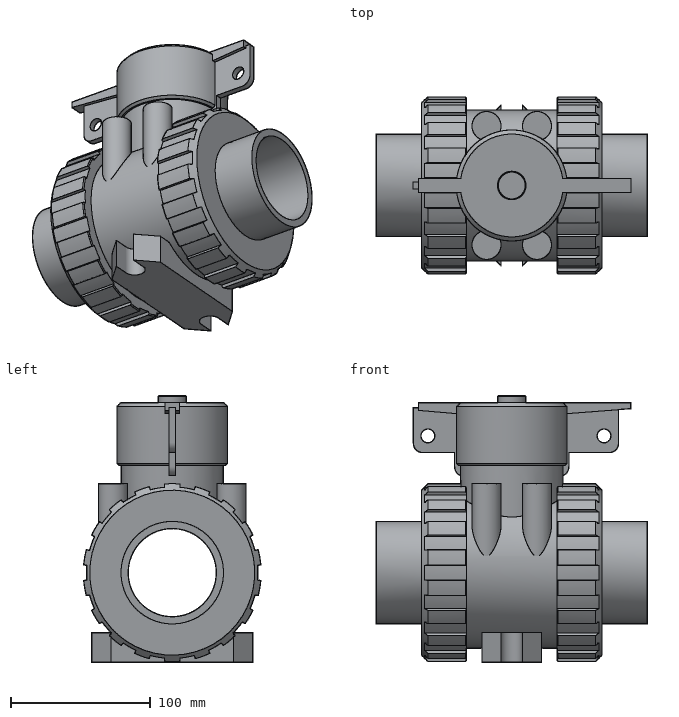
import cadquery as cq

pipe_length = 194.5
pipe_diameter = 73.5
bore_diameter = 63.0
body_diameter = 108.5

nut_outer_x = 64.8
nut_inner_x = 32.5
nut_length = nut_outer_x - nut_inner_x
nut_radius = 63.8
nut_groove_radius = 61.5
nut_chamfer = 4.7
tooth_end_chamfer = 0.8
tooth_count = 18
tooth_width = 11.0

neck_diameter = 73.5
cap_diameter = 79.5
cap_bottom_z = 76.6
cap_top_z = 122.0
cap_top_chamfer = 3.0
cap_bottom_chamfer = 1.8
pin_diameter = 20.5
pin_top_z = 127.0
pin_chamfer = 0.5

pillar_diameter = 20.8
pillar_x = 18.0
pillar_y = 42.5
pillar_top_z = nut_radius

bar_width = 10.1
bar_left_x = -67.0
bar_right_x = 85.4
bar_root_thickness = 8.0
bar_left_thickness = 5.6
bar_right_thickness = 4.5
plate_thickness = 4.9
plate_left_x = -70.6
plate_right_x = 76.6
plate_top_z = 118.3
plate_bottom_z = 86.0
plate_corner_radius = 6.8
tab_half_length = 41.0
tab_bottom_z = 69.0
hole_diameter = 9.7
hole_edge_distance = 10.5
hole_z = 98.0

base_length = 42.8
base_width = 115.5
base_bottom_z = -64.4
base_top_z = -43.0
base_slot_width = 15.2
base_slot_depth = 19.5
base_corner_cut = (base_length - base_slot_width) / 2


def x_cylinder(diameter, length):
    """Cylinder centred on the flow axis."""
    return cq.Workplane("YZ").circle(diameter / 2).extrude(length / 2, both=True)


def z_cylinder(diameter, bottom_z, top_z):
    """Cylinder on the stem axis between two heights."""
    return cq.Workplane("XY").workplane(offset=bottom_z).circle(diameter / 2).extrude(top_z - bottom_z)


def make_nut():
    """Union nut on the +X side: a grooved ring with evenly spaced grip teeth."""
    ring = cq.Workplane("YZ").workplane(offset=nut_inner_x)
    envelope = ring.circle(nut_radius).extrude(nut_length)
    envelope = envelope.faces(">X").chamfer(nut_chamfer)
    envelope = envelope.faces("<X").chamfer(tooth_end_chamfer)
    core = ring.circle(nut_groove_radius).extrude(nut_length)
    tooth = (
        cq.Workplane("XY")
        .box(nut_length, tooth_width, nut_radius, centered=(False, True, False))
        .translate((nut_inner_x, 0, 0))
    )
    nut = core
    for index in range(tooth_count):
        angle = index * 360 / tooth_count
        nut = nut.union(tooth.rotate((0, 0, 0), (1, 0, 0), angle))
    return nut.intersect(envelope)


def make_pillars():
    return (
        cq.Workplane("XY")
        .rect(2 * pillar_x, 2 * pillar_y, forConstruction=True)
        .vertices()
        .circle(pillar_diameter / 2)
        .extrude(pillar_top_z)
    )


def make_cap():
    cap = z_cylinder(cap_diameter, cap_bottom_z, cap_top_z)
    cap = cap.faces(">Z").chamfer(cap_top_chamfer)
    cap = cap.faces("<Z").chamfer(cap_bottom_chamfer)
    pin = z_cylinder(pin_diameter, cap_top_z, pin_top_z).faces(">Z").chamfer(pin_chamfer)
    return cap.union(pin)


def make_handle_bar():
    """Flat-topped bar whose underside tapers from the cap towards both ends."""
    root_x = cap_diameter / 2
    root_z = cap_top_z - bar_root_thickness
    return (
        cq.Workplane("XZ")
        .moveTo(bar_left_x, cap_top_z)
        .lineTo(bar_right_x, cap_top_z)
        .lineTo(bar_right_x, cap_top_z - bar_right_thickness)
        .lineTo(root_x, root_z)
        .lineTo(-root_x, root_z)
        .lineTo(bar_left_x, cap_top_z - bar_left_thickness)
        .close()
        .extrude(bar_width / 2, both=True)
    )


def make_rounded_plate(left_x, right_x, bottom_z):
    """Upright plate with its two lower corners rounded."""
    return (
        cq.Workplane("XZ")
        .moveTo(left_x, bottom_z)
        .lineTo(right_x, bottom_z)
        .lineTo(right_x, plate_top_z)
        .lineTo(left_x, plate_top_z)
        .close()
        .extrude(plate_thickness / 2, both=True)
        .edges("|Y and <Z")
        .fillet(plate_corner_radius)
    )


def make_handle_plate():
    wings = make_rounded_plate(plate_left_x, plate_right_x, plate_bottom_z)
    tab = make_rounded_plate(-tab_half_length, tab_half_length, tab_bottom_z)
    hole_points = [
        (plate_left_x + hole_edge_distance, hole_z),
        (plate_right_x - hole_edge_distance, hole_z),
    ]
    holes = (
        cq.Workplane("XZ")
        .pushPoints(hole_points)
        .circle(hole_diameter / 2)
        .extrude(plate_thickness, both=True)
    )
    return wings.union(tab).cut(holes)


def make_base():
    """Mounting foot with mitred corners and a round-ended slot open at each Y end."""
    height = base_top_z - base_bottom_z
    base = (
        cq.Workplane("XY")
        .workplane(offset=base_bottom_z)
        .rect(base_length, base_width)
        .extrude(height)
        .edges("|Z")
        .chamfer(base_corner_cut)
    )
    slots = (
        cq.Workplane("XY")
        .workplane(offset=base_bottom_z)
        .pushPoints([(0, base_width / 2), (0, -base_width / 2)])
        .slot2D(2 * base_slot_depth, base_slot_width, 90)
        .extrude(height)
    )
    return base.cut(slots)


nut = make_nut()
result = (
    x_cylinder(pipe_diameter, pipe_length)
    .union(x_cylinder(body_diameter, 2 * nut_inner_x))
    .union(nut)
    .union(nut.mirror("YZ"))
    .union(make_pillars())
    .union(z_cylinder(neck_diameter, 0, cap_bottom_z))
    .union(make_cap())
    .union(make_handle_bar())
    .union(make_handle_plate())
    .union(make_base())
    .cut(x_cylinder(bore_diameter, pipe_length))
)